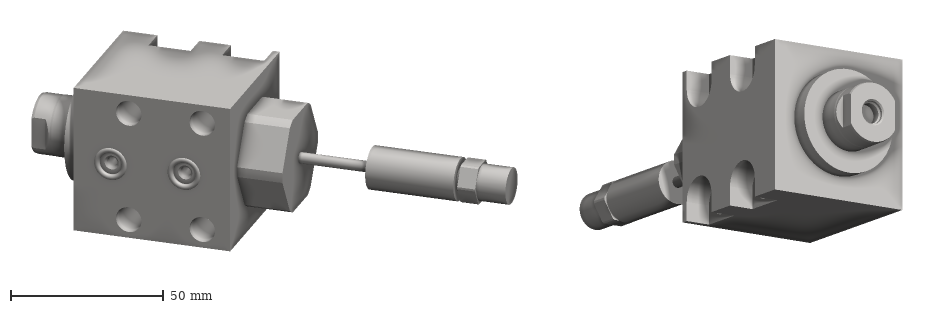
import cadquery as cq

stem_chamfer_end = 1.0
stem_taper_start = 6.9
stem_taper_end = 7.5
flange_start = 14.4
block_start = 20.3
block_end = 74.5
hex_end = 90.2
sleeve_start = 115.2
sleeve_end = 145.8
nut_start = 147.1
nut_end = 153.3
total_length = 163.5

block_depth = 50.3
block_height = 50.8
block_front = -block_depth / 2
block_back = block_depth / 2

hole_diameter = 8.8
hole_spacing = 25.5
first_hole_x = 39.4
hole_rows_z = 19.0
slot_width = 14.5
slot_depth = 8.8

flange_diameter = 35.0
stem_diameter = 20.6
stem_front_diameter = 20.5
stem_tip_diameter = 20.0
stem_flats_width = 17.3
stem_flats_length = 4.9
stem_bore_mouth = 8.8
stem_bore_entry_diameter = 7.8
stem_bore_entry_depth = 1.5
stem_bore_diameter = 6.9
stem_bore_depth = 4.9

port_x_offset = -6.4
ring_outer_diameter = 11.6
ring_tube_radius = 1.0
ring_protrusion = 0.5
seat_depth = 1.3
port_diameter = 3.6
port_mouth_diameter = 4.9
port_depth = 4.9

hex_flats = 33.0
hex_turned_diameter = 36.3
nut_flats = 13.2
nut_turned_diameter = 14.9

cable_diameter = 3.8
sleeve_diameter = 14.7
neck_diameter = 8.8
connector_diameter = 12.5

hole_columns_x = [first_hole_x, first_hole_x + hole_spacing]


def rod(start, end, diameter):
    """Cylinder along X."""
    return cq.Workplane("YZ", origin=(start, 0, 0)).circle(diameter / 2).extrude(end - start)


def turned_hexagon(start, end, flats, turned_diameter):
    """Hexagonal bar along X with flats up and down and its corners turned round."""
    length = end - start
    hexagon = (
        cq.Workplane("YZ", origin=(start, 0, 0))
        .polygon(6, flats, circumscribed=True)
        .extrude(length)
    )
    hexagon = hexagon.rotate((0, 0, 0), (1, 0, 0), 90)
    return hexagon.intersect(rod(start, end, turned_diameter))


def head_slot(x, side):
    """Round-bottomed slot for a screw head, open to the back and to the top (side 1) or bottom (-1)."""
    slot_start = block_back - slot_depth
    round_end = (
        cq.Workplane("XZ", origin=(x, block_back, side * hole_rows_z))
        .circle(slot_width / 2)
        .extrude(slot_depth)
    )
    opening = cq.Workplane("XY").box(
        slot_width, slot_depth, block_height / 2, centered=(True, False, False)
    )
    opening_base = hole_rows_z if side > 0 else -hole_rows_z - block_height / 2
    return round_end.union(opening.translate((x, slot_start, opening_base)))


def make_block():
    block = cq.Workplane("XY").box(block_end - block_start, block_depth, block_height)
    block = block.translate(((block_start + block_end) / 2, 0, 0))
    for x in hole_columns_x:
        for side in (1, -1):
            hole = (
                cq.Workplane("XZ", origin=(x, block_back, side * hole_rows_z))
                .circle(hole_diameter / 2)
                .extrude(block_depth)
            )
            block = block.cut(hole).cut(head_slot(x, side))
    return block


def port_cavity(x):
    """Ring seat, chamfered bore and drill point, revolved about an axis along Y."""
    seat_radius = ring_outer_diameter / 2 - ring_tube_radius
    mouth_radius = port_mouth_diameter / 2
    bore_radius = port_diameter / 2
    chamfer_end = seat_depth + mouth_radius - bore_radius
    profile = (
        cq.Workplane("XY", origin=(x, block_front, 0))
        .moveTo(0, 0)
        .lineTo(seat_radius, 0)
        .lineTo(seat_radius, seat_depth)
        .lineTo(mouth_radius, seat_depth)
        .lineTo(bore_radius, chamfer_end)
        .lineTo(bore_radius, port_depth)
        .lineTo(0, port_depth + bore_radius)
        .close()
    )
    return profile.revolve(360, (0, 0), (0, 1))


def sealing_ring(x):
    """Round-section ring that bites into the wall of its seat and stands proud of the front face."""
    ring_radius = ring_outer_diameter / 2 - ring_tube_radius
    ring_y = block_front - ring_protrusion + ring_tube_radius
    ring = cq.Solid.makeTorus(
        ring_radius, ring_tube_radius, cq.Vector(x, ring_y, 0), cq.Vector(0, 1, 0)
    )
    return cq.Workplane(obj=ring)


def make_stem():
    """Stepped stem with two wrench flats that run out at 45 degrees, and a stepped, chamfered blind bore."""
    stem_radius = stem_diameter / 2
    front_radius = stem_front_diameter / 2
    stem = (
        cq.Workplane("XY")
        .moveTo(0, 0)
        .lineTo(0, stem_tip_diameter / 2)
        .lineTo(stem_chamfer_end, front_radius)
        .lineTo(stem_taper_start, front_radius)
        .lineTo(stem_taper_end, stem_radius)
        .lineTo(flange_start, stem_radius)
        .lineTo(flange_start, 0)
        .close()
        .revolve(360, (0, 0), (1, 0))
    )
    half_width = stem_flats_width / 2
    runout = stem_radius - half_width
    flat_cut = (
        cq.Workplane("XY", origin=(0, 0, -stem_radius))
        .moveTo(0, half_width)
        .lineTo(stem_flats_length, half_width)
        .lineTo(stem_flats_length + runout, stem_radius)
        .lineTo(0, stem_radius)
        .close()
        .extrude(stem_diameter)
    )
    stem = stem.cut(flat_cut).cut(flat_cut.mirror("XZ"))

    bore_radius = stem_bore_diameter / 2
    entry_radius = stem_bore_entry_diameter / 2
    mouth_radius = stem_bore_mouth / 2
    bore = (
        cq.Workplane("XY")
        .moveTo(0, 0)
        .lineTo(0, mouth_radius)
        .lineTo(mouth_radius - entry_radius, entry_radius)
        .lineTo(stem_bore_entry_depth, entry_radius)
        .lineTo(stem_bore_entry_depth + entry_radius - bore_radius, bore_radius)
        .lineTo(stem_bore_depth, bore_radius)
        .lineTo(stem_bore_depth, 0)
        .close()
        .revolve(360, (0, 0), (1, 0))
    )
    return stem.cut(bore)


result = make_block()
for hole_x in hole_columns_x:
    port_x = hole_x + port_x_offset
    result = result.cut(port_cavity(port_x)).union(sealing_ring(port_x))

result = (
    result.union(make_stem())
    .union(rod(flange_start, block_start, flange_diameter))
    .union(turned_hexagon(block_end, hex_end, hex_flats, hex_turned_diameter))
    .union(rod(hex_end, sleeve_start, cable_diameter))
    .union(rod(sleeve_start, sleeve_end, sleeve_diameter))
    .union(rod(sleeve_end, nut_start, neck_diameter))
    .union(turned_hexagon(nut_start, nut_end, nut_flats, nut_turned_diameter))
    .union(rod(nut_end, total_length, connector_diameter))
)